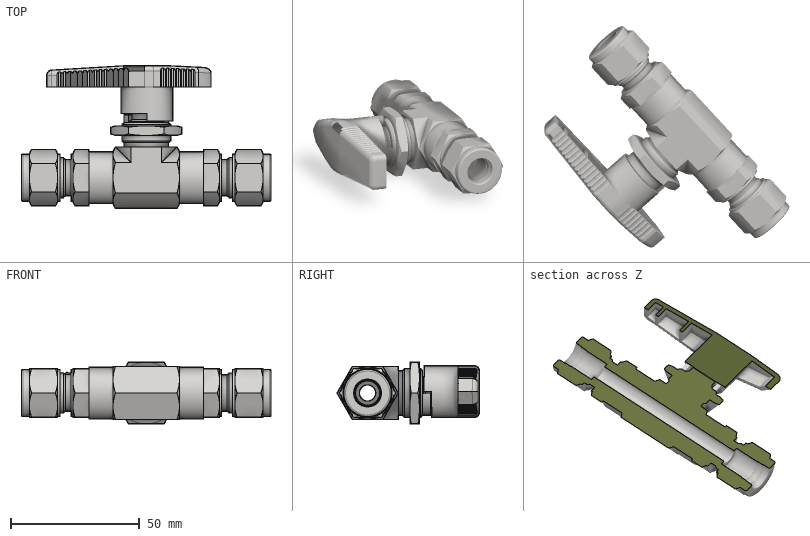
import cadquery as cq
import math


half_length = 48.485
bore_radius = 3.1
socket_steps = ((5.1, 3.0), (4.9, 5.6), (4.7, 16.0))
socket_mouth_radius = 5.4
socket_mouth_depth = 0.6

body_across_flats = 20.6
body_half_length = 12.9
barrel_radius = 10.1
barrel_end = 22.3

fitting_across_flats = 19.0
washer_radius = 9.2
fixed_hex_end = 28.5
fixed_washer_end = 29.2
neck_radius = 7.1
neck_end = 31.45
shoulder_radius = 7.85
shoulder_start = 32.2
shoulder_end = 33.5
nut_hex_start = 34.4
nut_hex_end = 45.4
nut_lip_round = 0.65
hex_chamfer_angle = 30

boss_top = 12.0
bonnet_radius = 8.67
thread_radius = 9.53
thread_start = 13.6
thread_end = 21.35
thread_chamfer = 0.7
panel_nut_across_flats = 24.0
panel_nut_bottom = 16.4
panel_nut_top = 20.15
panel_nut_chamfer_angle = 17
stop_top = 24.5
stop_inner_radius = 13.8 / 2
stem_radius = 5.6
stem_cone_radius = 6.5
stem_cone_bottom = 21.8
stem_cone_top = 22.6

handle_offset = (0.2, 0, 0.55)
hub_radius = 20.2 / 2
hub_bottom = 24.85
skirt_bottom = 22.0
lever_bottom = 35.2
lever_top = 43.5
lever_left = -38.9
lever_left_top = 41.7
lever_right = 25.0
lever_right_top = 42.7
crown_half_length = 8.9
left_tangent_x = -0.85
right_tangent_x = 2.65
right_shoulder_x = 20.1
end_corner_round = 2.0
top_edge_round = 2.15
lever_wall = 2.0
web_thickness = 1.5
web_centers = (-32.5, -20.5)

groove_pitch = 2.0
groove_floor_width = 0.75
groove_depth = 0.35
groove_side_angle = 61
groove_top_gap = 0.8
left_groove_start = 7.2
left_groove_count = 14
right_groove_start = 3.75
right_groove_count = 7


def corner_radius(across_flats):
    return across_flats / 2 / math.cos(math.pi / 6)


def hex_bar_x(across_flats, start, end):
    """Hexagonal bar along X with flats facing +Z and -Z."""
    return (cq.Workplane("YZ").workplane(offset=start)
            .polygon(6, 2 * corner_radius(across_flats)).extrude(end - start))


def hex_bar_y(across_flats, start, end):
    """Hexagonal bar along Y with flats facing +Z and -Z."""
    return (cq.Workplane("XZ").workplane(offset=-start)
            .polygon(6, 2 * corner_radius(across_flats)).extrude(start - end))


def chamfer_envelope(across_flats, start, end, angle, chamfer_start, chamfer_end):
    """Half outline (along, radius) of a turned hexagon whose corners are coned off at the ends."""
    flat = across_flats / 2
    corner = corner_radius(across_flats)
    drop = (corner - flat) * math.tan(math.radians(angle))
    points = [(start, 0)]
    points += [(start, flat), (start + drop, corner)] if chamfer_start else [(start, corner)]
    points += [(end - drop, corner), (end, flat)] if chamfer_end else [(end, corner)]
    return points + [(end, 0)]


def turned_x(points):
    """Solid of revolution about X from (x, radius) points."""
    return cq.Workplane("XY").polyline(points).close().revolve(360, (0, 0, 0), (1, 0, 0))


def turned_y(points):
    """Solid of revolution about Y from (y, radius) points."""
    swapped = [(radius, y) for y, radius in points]
    return cq.Workplane("XY").polyline(swapped).close().revolve(360, (0, 0, 0), (0, 1, 0))


def turned_hex_x(across_flats, start, end, chamfer_start, chamfer_end):
    envelope = chamfer_envelope(
        across_flats, start, end, hex_chamfer_angle, chamfer_start, chamfer_end)
    return hex_bar_x(across_flats, start, end).intersect(turned_x(envelope))


def quarter_ring(outer, inner, bottom, top, x_side, z_side):
    """Quarter of a ring around Y, in the quadrant given by the signs of X and Z."""
    height = top - bottom
    ring = cq.Workplane("XZ").workplane(offset=-bottom).circle(outer).circle(inner).extrude(-height)
    block = (cq.Workplane("XY").box(outer, height, outer)
             .translate((x_side * outer / 2, (bottom + top) / 2, z_side * outer / 2)))
    return ring.intersect(block)


def fitting():
    """Barrel, fixed hexagon, neck and tube nut on the +X side."""
    core = turned_x([
        (0, 0), (0, barrel_radius), (barrel_end, barrel_radius),
        (barrel_end, washer_radius), (fixed_washer_end, washer_radius),
        (fixed_washer_end, neck_radius), (neck_end, neck_radius),
        (shoulder_start, shoulder_radius), (shoulder_end, shoulder_radius),
        (shoulder_end, washer_radius), (half_length, washer_radius), (half_length, 0)])
    core = core.faces(">X").edges().fillet(nut_lip_round)
    fixed_hex = turned_hex_x(fitting_across_flats, barrel_end, fixed_hex_end, False, True)
    nut_hex = turned_hex_x(fitting_across_flats, nut_hex_start, nut_hex_end, True, True)
    return core.union(fixed_hex).union(nut_hex)


def tube_socket():
    """Stepped opening that takes the tube on the +X side."""
    points = [(half_length, 0), (half_length, socket_mouth_radius)]
    start = half_length - socket_mouth_depth
    for radius, depth in socket_steps:
        points += [(start, radius), (half_length - depth, radius)]
        start = half_length - depth
    return turned_x(points + [(start, 0)])


def bonnet():
    """Bonnet thread, coned stem base and stem, turned about Y."""
    return turned_y([
        (0, 0), (0, bonnet_radius), (thread_start, bonnet_radius),
        (thread_start + thread_chamfer, thread_radius),
        (thread_end - thread_chamfer, thread_radius), (thread_end, bonnet_radius),
        (thread_end, stem_cone_radius), (stem_cone_bottom, stem_cone_radius),
        (stem_cone_top, stem_radius), (hub_bottom, stem_radius), (hub_bottom, 0)])


def panel_nut():
    """Hexagonal nut on the bonnet thread, coned at both faces."""
    envelope = chamfer_envelope(panel_nut_across_flats, panel_nut_bottom, panel_nut_top,
                                panel_nut_chamfer_angle, True, True)
    nut = hex_bar_y(panel_nut_across_flats, panel_nut_bottom, panel_nut_top)
    return nut.intersect(turned_y(envelope))


def rotation_stop():
    """Half ring on the -Z side that limits the handle to a quarter turn."""
    left, right = [quarter_ring(bonnet_radius, stop_inner_radius, thread_end, stop_top, x_side, -1)
                   for x_side in (-1, 1)]
    return left.union(right)


def valve_body():
    body = turned_hex_x(body_across_flats, -body_half_length, body_half_length, True, True)
    boss = hex_bar_y(body_across_flats, 0, boss_top)
    right_fitting = fitting()
    body = body.union(boss).union(right_fitting).union(right_fitting.mirror("YZ"))
    body = body.union(bonnet()).union(panel_nut()).union(rotation_stop())
    bore = cq.Workplane("YZ").circle(bore_radius).extrude(half_length, both=True)
    socket = tube_socket()
    return body.cut(bore).cut(socket).cut(socket.mirror("YZ"))


def tangent_height(tangent_x, x):
    """Half width at x of the side line touching the hub circle at tangent_x."""
    return (hub_radius ** 2 - tangent_x * x) / math.sqrt(hub_radius ** 2 - tangent_x ** 2)


def lever_outline():
    """Plan outline of the lever on its bottom plane."""
    left_half = tangent_height(left_tangent_x, lever_left)
    left_touch = tangent_height(left_tangent_x, left_tangent_x)
    right_touch = tangent_height(right_tangent_x, right_tangent_x)
    right_half = tangent_height(right_tangent_x, right_shoulder_x)
    return (
        cq.Workplane("XZ").workplane(offset=-lever_bottom)
        .moveTo(lever_left, -left_half)
        .lineTo(lever_left, left_half)
        .lineTo(left_tangent_x, left_touch)
        .threePointArc((0, hub_radius), (right_tangent_x, right_touch))
        .lineTo(right_shoulder_x, right_half)
        .lineTo(lever_right, 0)
        .lineTo(right_shoulder_x, -right_half)
        .lineTo(right_tangent_x, -right_touch)
        .threePointArc((0, -hub_radius), (left_tangent_x, -left_touch))
        .close())


def top_height(x):
    """Height of the lever top: level over the hub and sloping down to both ends."""
    if x < -crown_half_length:
        slope = (lever_top - lever_left_top) / (-crown_half_length - lever_left)
        return lever_top + (x + crown_half_length) * slope
    if x > crown_half_length:
        slope = (lever_top - lever_right_top) / (lever_right - crown_half_length)
        return lever_top - (x - crown_half_length) * slope
    return lever_top


def below_top(drop):
    """Block that fills everything under the lever top lowered by drop."""
    left = lever_left - lever_wall
    right = lever_right + lever_wall
    bends = (left, -crown_half_length, crown_half_length, right)
    top_line = [(x, top_height(x) - drop) for x in bends]
    return (cq.Workplane("XY").polyline([(left, lever_bottom), *top_line, (right, lever_bottom)])
            .close().extrude(2 * hub_radius, both=True))


def lever_blank():
    """Solid lever with rounded -X corners and a rounded top edge."""
    blank = lever_outline().extrude(lever_bottom - lever_top)
    blank = blank.faces("<X").edges("|Y").fillet(end_corner_round)
    blank = blank.intersect(below_top(0))
    clearance = top_edge_round / 2
    top_edges = blank.edges(cq.selectors.BoxSelector(
        (2 * lever_left, lever_left_top - clearance, -2 * hub_radius),
        (2 * lever_right, lever_top + clearance, 2 * hub_radius)))
    crown_lines = cq.selectors.BoxSelector(
        (-crown_half_length - clearance, lever_left_top, -clearance),
        (crown_half_length + clearance, lever_top + clearance, clearance))
    return top_edges.edges(cq.selectors.InverseSelector(crown_lines)).fillet(top_edge_round)


def hub_post(bottom, top):
    """Solid cylinder about the handle axis."""
    return cq.Workplane("XZ").workplane(offset=-bottom).circle(hub_radius).extrude(bottom - top)


def lever_pockets():
    """Hollows under the lever, divided by two webs and left solid around the hub."""
    pockets = lever_outline().offset2D(-lever_wall, "intersection").extrude(lever_bottom - lever_top)
    pockets = pockets.intersect(below_top(lever_wall)).cut(hub_post(lever_bottom, lever_top))
    for x in web_centers:
        web = (cq.Workplane("XY").box(web_thickness, lever_top, 2 * hub_radius)
               .translate((x, lever_top, 0)))
        pockets = pockets.cut(web)
    return pockets


def groove_cutter(tangent_x, distance):
    """Upright groove with a round top and flared sides, at a distance along the +Z side wall."""
    tilt = math.asin(tangent_x / hub_radius)
    normal = cq.Vector(math.sin(tilt), 0, math.cos(tilt))
    along = cq.Vector(math.cos(tilt), 0, -math.sin(tilt))
    center = normal * (hub_radius - groove_depth) + along * distance
    half_width = groove_floor_width / 2
    tip = top_height(center.x) - groove_top_gap
    start = lever_bottom - groove_pitch
    return (cq.Workplane(cq.Plane((center.x, 0, center.z), along, normal))
            .moveTo(-half_width, start)
            .lineTo(-half_width, tip - half_width)
            .threePointArc((0, tip), (half_width, tip - half_width))
            .lineTo(half_width, start).close()
            .extrude(2 * groove_depth, taper=-groove_side_angle))


def cut_grooves(lever):
    """Cut both rows of grip grooves into both side walls."""
    cutters = [groove_cutter(left_tangent_x, -left_groove_start - i * groove_pitch)
               for i in range(left_groove_count)]
    cutters += [groove_cutter(right_tangent_x, right_groove_start + i * groove_pitch)
                for i in range(right_groove_count)]
    for cutter in cutters:
        lever = lever.cut(cutter).cut(cutter.mirror("XY"))
    return lever


def handle():
    lever = cut_grooves(lever_blank()).cut(lever_pockets())
    skirt = quarter_ring(hub_radius, stop_inner_radius, skirt_bottom, hub_bottom, 1, 1)
    hub = hub_post(hub_bottom, lever_bottom).union(skirt)
    return lever.union(hub).translate(handle_offset)


result = cq.Compound.makeCompound([valve_body().val(), handle().val()])